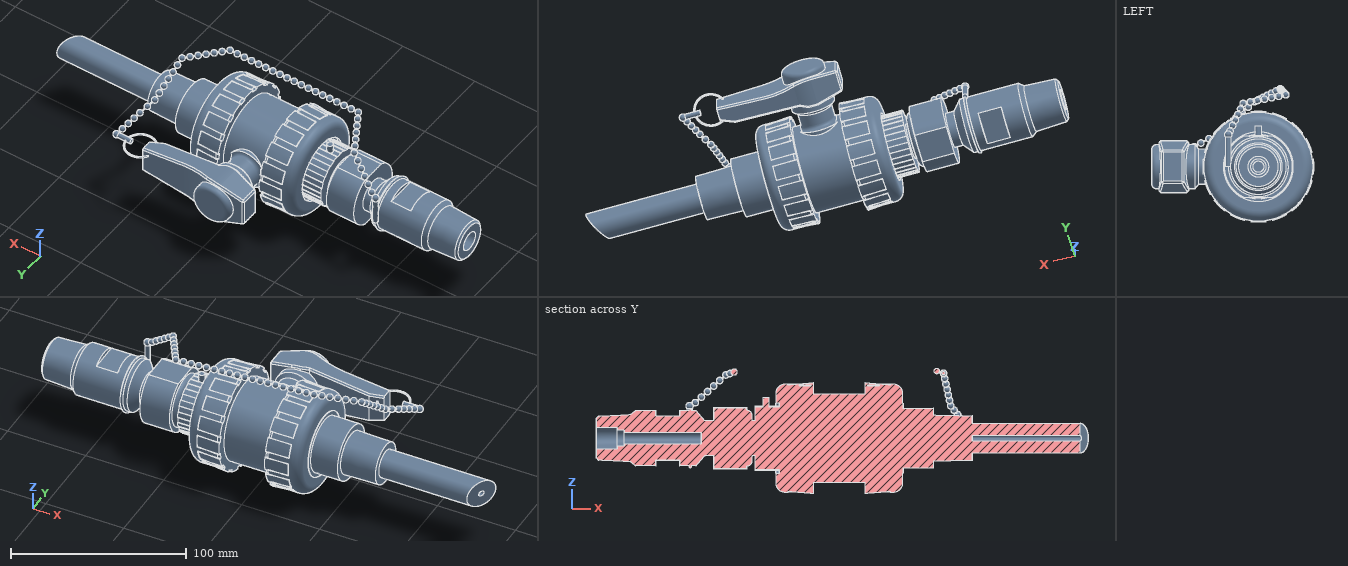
import cadquery as cq
import math


TAIL_END = 281.15
VALVE_CENTER = 138.85
BODY_HALF_LENGTH = 14.6
UNION_NUT_LENGTH = 21.75

TIP_LENGTH = 19.6
TIP_CHAMFER = 1.3
TIP_FACE_RADIUS = 11.3
TIP_START_RADIUS = 12.7
TIP_END_RADIUS = 13.6
BARREL_START = 22.5
BARREL_END = 57.2
BARREL_RADIUS = 31.75 / 2
WRENCH_FLAT_START = 34.2
WRENCH_FLAT_END = 47.8
WRENCH_FLAT_SPAN = 25.4
NECK_START = 62.1
NECK_RADIUS = 20.32 / 2
SWIVEL_START = 67.1
SWIVEL_END = 86.1
SWIVEL_RADIUS = 19.35
SWIVEL_FLAT_SPAN = 35.0
SHOULDER_END = 89.3
SHOULDER_RADIUS = 16.2
SHOULDER_END_RADIUS = 12.6
MOUTH_DIAMETER = 11.91
MOUTH_DEPTH = 12.0
THROAT_DIAMETER = 8.9
THROAT_DEPTH = 16.0
BORE_DIAMETER = 6.35
BORE_DEPTH = 60.0

COLLAR_START = 90.7
COLLAR_RADIUS = 18.4
FLUTE_COUNT = 16
FLUTE_DEPTH = 0.5
FLUTE_WIDTH = 3.6
COLLAR_PIN_X = 97.0
COLLAR_PIN_DIAMETER = 3.81
COLLAR_PIN_TOP = 23.3

BODY_RADIUS = 25.5
NUT_RIM_RADIUS = 63.5 / 2
NUT_RIB_RADIUS = 31.1
NUT_PANEL_RADIUS = 30.6
NUT_ROUNDING = 5.5
NUT_BAND = 1.6
NUT_RIM_CHAMFER = 1.6
NUT_RIM_DROP = 0.8
NUT_RIB_COUNT = 16
NUT_RIB_WIDTH = 3.81
NUT_HOLE_DIAMETER = 39.88
NUT_HOLE_DEPTH = 2.0

ADAPTER_END = 192.7
FLANGE_REACH = 0.3
ADAPTER_RADIUS = 17.2
SLEEVE_END = 214.8
SLEEVE_START_RADIUS = 13.3
SLEEVE_END_RADIUS = 12.9
TUBE_DIAMETER = 17.14
TUBE_BORE_DIAMETER = 3.17
TUBE_BEVEL_ANGLE = 30.0

STEM_X = 138.05
STEM_RADIUS = 20.32 / 2
STEM_FLARE_BASE = 24.6
STEM_FLARE = 2.6
KNOB_RADIUS = 25.4 / 2
KNOB_CONE_BASE = 34.1
KNOB_BASE = 36.2
OVERALL_WIDTH = 92.72
KNOB_TOP = OVERALL_WIDTH - NUT_RIM_RADIUS
KNOB_ROUNDING = 2.9

HANDLE_START = 118.6
HANDLE_END = 191.1
HUB_START = 134.1
HUB_END = 144.5
HANDLE_START_HALF_WIDTH = 9.3
HANDLE_END_HALF_WIDTH = 8.8
HUB_EDGE_HALF_WIDTH = 14.3
HUB_HALF_WIDTH = 14.9
HANDLE_CHAMFER = 1.0
HANDLE_START_LOW = 42.6
HANDLE_START_HIGH = 55.3
HUB_START_LOW = 39.7
HUB_START_HIGH = 56.8
HUB_MIDDLE_HIGH = 56.6
HUB_LOW_END = 140.0
HUB_LOW_END_LEVEL = 39.9
HUB_END_LOW = 41.8
HUB_END_HIGH = 55.5
LEVER_BEND = (152.8, 53.2)
LEVER_STRAIGHT_START = 162.0
LEVER_HIGH = 52.2
LEVER_LOW = 41.2
LEVER_TIP_CUT_START = 183.0
LEVER_TIP_LOW = 44.2

RING_X = 195.6
RING_Y = 47.8
RING_Z = 5.2
RING_RADIUS = 9.4
RING_WIRE_RADIUS = 0.45
BEAD_DIAMETER = 3.81
END_BEAD_DIAMETER = 4.3
BEAD_PITCH = 4.78
CHAIN_WIRE_DIAMETER = 0.6
CHAIN_PIN_DIAMETER = 3.17
STRAP_X = 53.8
STRAP_RADIUS = 16.3
STRAP_WIRE_RADIUS = 0.8
CHAIN_CORNERS = [
    (53.4, 17.2, 18.3),
    (56.7, 16.2, 20.3),
    (74.1, 8.7, 36.1),
    (88.3, -15.7, 41.0),
    (175.2, -12.5, 44.45),
    (198.4, 2.2, 37.1),
    (202.5, 23.6, 18.5),
    (206.4, 32.8, 13.5),
    (212.2, 47.8, RING_Z),
]


def turned(points):
    """Solid of revolution about X from (x, radius) points, closed along the axis."""
    first_x = points[0][0]
    last_x = points[-1][0]
    profile = [(first_x, 0), *points, (last_x, 0)]
    return cq.Workplane("XY").polyline(profile).close().revolve(360, (0, 0, 0), (1, 0, 0))


def x_cylinder(start, end, radius):
    return cq.Workplane("YZ", origin=(start, 0, 0)).circle(radius).extrude(end - start)


def box_between(start, end, y_size, z_size, z_center=0):
    center = ((start + end) / 2, 0, z_center)
    return cq.Workplane("XY", origin=center).box(end - start, y_size, z_size)


def round_the_axis(shape, count, first_angle=0):
    """The shape repeated evenly about X, as one workplane of separate solids."""
    copies = cq.Workplane("XY")
    for index in range(count):
        angle = first_angle + index * 360 / count
        copies = copies.add(shape.rotate((0, 0, 0), (1, 0, 0), angle))
    return copies.combine()


def rod(start, end, diameter):
    direction = cq.Vector(*end) - cq.Vector(*start)
    return cq.Solid.makeCylinder(diameter / 2, direction.Length, cq.Vector(*start), direction)


def ball(center, diameter):
    return cq.Workplane("XY", origin=center).sphere(diameter / 2).val()


def make_inlet():
    spigot = turned([
        (0, TIP_FACE_RADIUS),
        (TIP_CHAMFER, TIP_START_RADIUS),
        (TIP_LENGTH, TIP_END_RADIUS),
        (BARREL_START, BARREL_RADIUS),
        (BARREL_END, BARREL_RADIUS),
        (NECK_START, NECK_RADIUS),
        (COLLAR_START, NECK_RADIUS),
    ])
    flat_depth = BARREL_RADIUS - WRENCH_FLAT_SPAN / 2
    for side in (1, -1):
        flat_center = side * (WRENCH_FLAT_SPAN + flat_depth) / 2
        spigot = spigot.cut(
            box_between(WRENCH_FLAT_START, WRENCH_FLAT_END, 2 * BARREL_RADIUS, flat_depth, flat_center)
        )
    swivel = x_cylinder(SWIVEL_START, SWIVEL_END, SWIVEL_RADIUS).intersect(
        box_between(SWIVEL_START, SWIVEL_END, 2 * SWIVEL_RADIUS, SWIVEL_FLAT_SPAN)
    )
    shoulder_length = SHOULDER_END - SWIVEL_END
    shoulder_drop = SHOULDER_RADIUS - SHOULDER_END_RADIUS
    shoulder_bulge = (
        SWIVEL_END + shoulder_length * math.sin(math.pi / 4),
        SHOULDER_END_RADIUS + shoulder_drop * math.cos(math.pi / 4),
    )
    shoulder = (
        cq.Workplane("XY")
        .moveTo(SWIVEL_END, 0)
        .lineTo(SWIVEL_END, SHOULDER_RADIUS)
        .threePointArc(shoulder_bulge, (SHOULDER_END, SHOULDER_END_RADIUS))
        .lineTo(SHOULDER_END, 0)
        .close()
        .revolve(360, (0, 0, 0), (1, 0, 0))
    )
    mouth = x_cylinder(0, MOUTH_DEPTH, MOUTH_DIAMETER / 2)
    throat = x_cylinder(0, THROAT_DEPTH, THROAT_DIAMETER / 2)
    bore = x_cylinder(0, BORE_DEPTH, BORE_DIAMETER / 2)
    return spigot.union(swivel).union(shoulder).cut(mouth).cut(throat).cut(bore)


def make_collar():
    collar_end = VALVE_CENTER - BODY_HALF_LENGTH
    collar = x_cylinder(COLLAR_START, collar_end, COLLAR_RADIUS)
    nut_face = collar_end - UNION_NUT_LENGTH
    flute = box_between(
        COLLAR_START, nut_face + NUT_HOLE_DEPTH, FLUTE_WIDTH, 2 * FLUTE_DEPTH, COLLAR_RADIUS
    )
    collar = collar.cut(round_the_axis(flute, FLUTE_COUNT))
    pin = rod((COLLAR_PIN_X, 0, 0), (COLLAR_PIN_X, 0, COLLAR_PIN_TOP), COLLAR_PIN_DIAMETER)
    return collar.union(cq.Workplane(pin))


def rounded_nut(outer_points):
    """Revolved nut whose face at x = 0 is rounded up to the rib radius."""
    face_radius = NUT_RIB_RADIUS - NUT_ROUNDING
    bulge = (
        NUT_ROUNDING * (1 - math.cos(math.pi / 4)),
        face_radius + NUT_ROUNDING * math.sin(math.pi / 4),
    )
    profile = (
        cq.Workplane("XY")
        .lineTo(0, face_radius)
        .threePointArc(bulge, (NUT_ROUNDING, NUT_RIB_RADIUS))
    )
    for x, radius in outer_points:
        profile = profile.lineTo(x, radius)
    return profile.lineTo(UNION_NUT_LENGTH, 0).close().revolve(360, (0, 0, 0), (1, 0, 0))


def make_union_nut():
    """Nut with its rounded face at x = 0: straight ribs between panels that rise to the rim."""
    panel_start = NUT_ROUNDING + NUT_BAND
    panelled = rounded_nut([
        (panel_start, NUT_RIB_RADIUS),
        (panel_start, NUT_PANEL_RADIUS),
        (UNION_NUT_LENGTH, NUT_RIM_RADIUS),
    ])
    ribbed = rounded_nut([
        (UNION_NUT_LENGTH - NUT_RIM_CHAMFER, NUT_RIB_RADIUS),
        (UNION_NUT_LENGTH, NUT_RIB_RADIUS - NUT_RIM_DROP),
    ])
    rib_height = NUT_RIM_RADIUS - BODY_RADIUS + NUT_RIM_DROP
    rib_center = BODY_RADIUS + rib_height / 2
    rib = box_between(NUT_ROUNDING, UNION_NUT_LENGTH, NUT_RIB_WIDTH, rib_height, rib_center)
    ribs = round_the_axis(rib, NUT_RIB_COUNT, 180 / NUT_RIB_COUNT)
    nut = panelled.cut(ribs).union(ribbed.intersect(ribs))
    return nut.cut(x_cylinder(0, NUT_HOLE_DEPTH, NUT_HOLE_DIAMETER / 2))


def make_valve_body():
    half_length = BODY_HALF_LENGTH + UNION_NUT_LENGTH
    nut = make_union_nut()
    body = x_cylinder(VALVE_CENTER - BODY_HALF_LENGTH, VALVE_CENTER + BODY_HALF_LENGTH, BODY_RADIUS)
    left_nut = nut.translate((VALVE_CENTER - half_length, 0, 0))
    right_nut = nut.mirror("YZ").translate((VALVE_CENTER + half_length, 0, 0))
    return body.union(left_nut).union(right_nut)


def make_outlet():
    nut_start = VALVE_CENTER + BODY_HALF_LENGTH
    flange_end = nut_start + UNION_NUT_LENGTH + FLANGE_REACH
    outlet = turned([
        (nut_start, NUT_HOLE_DIAMETER / 2),
        (flange_end, NUT_HOLE_DIAMETER / 2),
        (flange_end, ADAPTER_RADIUS),
        (ADAPTER_END, ADAPTER_RADIUS),
        (ADAPTER_END, SLEEVE_START_RADIUS),
        (SLEEVE_END, SLEEVE_END_RADIUS),
    ])
    radius = TUBE_DIAMETER / 2
    bevel_length = TUBE_DIAMETER * math.tan(math.radians(TUBE_BEVEL_ANGLE))
    tube = x_cylinder(SLEEVE_END, TAIL_END, radius)
    tube = tube.cut(x_cylinder(SLEEVE_END, TAIL_END, TUBE_BORE_DIAMETER / 2))
    bevel = (
        cq.Workplane("XY")
        .polyline([(TAIL_END - bevel_length, -radius), (TAIL_END, radius), (TAIL_END, -radius)])
        .close()
        .extrude(radius, both=True)
    )
    return outlet.union(tube.cut(bevel))


def make_stem():
    flare_radius = STEM_RADIUS + STEM_FLARE
    flare_mid = STEM_FLARE * (1 - math.cos(math.pi / 4))
    stem = (
        cq.Workplane("XY")
        .lineTo(flare_radius, 0)
        .lineTo(flare_radius, STEM_FLARE_BASE)
        .threePointArc(
            (STEM_RADIUS + flare_mid, STEM_FLARE_BASE + flare_mid),
            (STEM_RADIUS, STEM_FLARE_BASE + STEM_FLARE),
        )
        .lineTo(STEM_RADIUS, KNOB_CONE_BASE)
        .lineTo(KNOB_RADIUS, KNOB_BASE)
        .lineTo(KNOB_RADIUS, KNOB_TOP)
        .lineTo(0, KNOB_TOP)
        .close()
        .revolve(360, (0, 0, 0), (0, 1, 0))
    )
    stem = stem.faces(">Y").edges().fillet(KNOB_ROUNDING)
    return stem.translate((STEM_X, 0, 0))


def make_handle():
    """Lever: its outline across Z and its thickness profile along Y, crossed and chamfered."""
    hub_middle = (HUB_START + HUB_END) / 2
    side = (
        cq.Workplane("XY")
        .moveTo(HANDLE_START, HANDLE_START_LOW)
        .lineTo(HANDLE_START, HANDLE_START_HIGH)
        .lineTo(HUB_START, HUB_START_HIGH)
        .threePointArc((hub_middle, HUB_MIDDLE_HIGH), (HUB_END, HUB_END_HIGH))
        .threePointArc(LEVER_BEND, (LEVER_STRAIGHT_START, LEVER_HIGH))
        .lineTo(HANDLE_END, LEVER_HIGH)
        .lineTo(HANDLE_END, LEVER_TIP_LOW)
        .lineTo(LEVER_TIP_CUT_START, LEVER_LOW)
        .lineTo(HUB_END, HUB_END_LOW)
        .lineTo(HUB_LOW_END, HUB_LOW_END_LEVEL)
        .lineTo(HUB_START, HUB_START_LOW)
        .close()
        .extrude(2 * HUB_HALF_WIDTH, both=True)
    )
    plan = (
        cq.Workplane("XZ")
        .moveTo(HANDLE_START, -HANDLE_START_HALF_WIDTH)
        .lineTo(HANDLE_START, HANDLE_START_HALF_WIDTH)
        .lineTo(HUB_START, HUB_EDGE_HALF_WIDTH)
        .threePointArc((hub_middle, HUB_HALF_WIDTH), (HUB_END, HUB_EDGE_HALF_WIDTH))
        .lineTo(HANDLE_END, HANDLE_END_HALF_WIDTH)
        .lineTo(HANDLE_END, -HANDLE_END_HALF_WIDTH)
        .lineTo(HUB_END, -HUB_EDGE_HALF_WIDTH)
        .threePointArc((hub_middle, -HUB_HALF_WIDTH), (HUB_START, -HUB_EDGE_HALF_WIDTH))
        .close()
        .extrude(-KNOB_TOP)
    )
    blank = side.intersect(plan)
    rims = blank.edges("not(|Y or |Z)").add(blank.faces("<X").edges())
    return rims.chamfer(HANDLE_CHAMFER)


def make_key_ring():
    ring = cq.Solid.makeTorus(
        RING_RADIUS, RING_WIRE_RADIUS, cq.Vector(RING_X, RING_Y, RING_Z), cq.Vector(0, 0, 1)
    )
    pin_start = (RING_X + RING_RADIUS - CHAIN_PIN_DIAMETER, RING_Y, RING_Z)
    pin = rod(pin_start, CHAIN_CORNERS[-1], CHAIN_PIN_DIAMETER)
    return [ring, pin, ball(CHAIN_CORNERS[-1], END_BEAD_DIAMETER)]


def make_strap():
    strap = cq.Solid.makeTorus(
        STRAP_RADIUS, STRAP_WIRE_RADIUS, cq.Vector(STRAP_X, 0, 0), cq.Vector(1, 0, 0)
    )
    top = CHAIN_CORNERS[0]
    post = rod((top[0], top[1], 0), top, CHAIN_PIN_DIAMETER)
    return [strap, post, ball(top, END_BEAD_DIAMETER)]


def make_chain():
    pieces = []
    for start, end in zip(CHAIN_CORNERS, CHAIN_CORNERS[1:]):
        pieces.append(rod(start, end, CHAIN_WIRE_DIAMETER))
        step_count = max(1, round(math.dist(start, end) / BEAD_PITCH))
        for step in range(step_count):
            fraction = step / step_count
            center = tuple(a + (b - a) * fraction for a, b in zip(start, end))
            pieces.append(ball(center, BEAD_DIAMETER))
    return pieces


result = (
    make_valve_body()
    .union(make_inlet())
    .union(make_collar())
    .union(make_outlet())
    .union(make_stem())
    .union(make_handle())
)
trimmings = make_strap() + make_chain() + make_key_ring()
result = cq.Workplane(result.val().fuse(*trimmings))